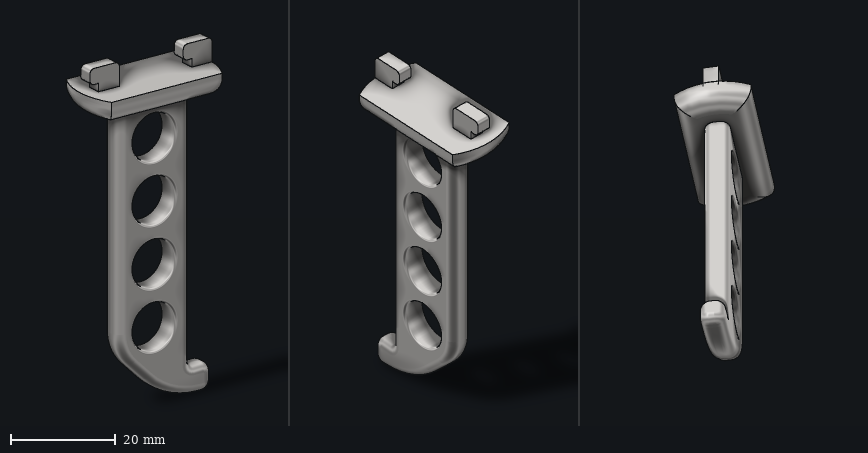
import cadquery as cq
import math

PLATE_WIDTH = 14.9
PLATE_LENGTH = 30.0
PLATE_THICKNESS = 5.05
PLATE_EDGE_RADIUS = 4.05

TOTAL_HEIGHT = 72.1
HOOK_HEIGHT = 5.05
HOOK_WIDTH = 3.0
HOOK_ROOT_DEPTH = 0.9
HOOK_LIP_REACH = 2.0
HOOK_LIP_BOTTOM = 1.7
HOOK_CORNER_RADIUS = 1.0
HOOK_SPACING = 21.9
REAR_LIP_TIP_Y = 8.1
REAR_HOOK_LENGTH = 6.85
FRONT_HOOK_LENGTH = 7.0

GRIP_THICKNESS = 5.0
GRIP_DEPTH = 17.1
GRIP_CENTER_Y = 0.65
GRIP_EDGE_RADIUS = 1.95
GRIP_BEND_RADIUS = 10.0
GRIP_SWEEP_RADIUS = 18.0
TOE_TIP_Y = 14.3
TOE_HEIGHT = 6.0
TOE_CORNER_RADIUS = 2.0
TOE_INNER_RADIUS = 0.8

HOLE_DIAMETER = 10.0
HOLE_COUNT = 4
HOLE_PITCH = 13.0
FIRST_HOLE_Z = -12.05
HOLE_EDGE_RADIUS = 0.5

BOTTOM_Z = HOOK_HEIGHT - TOTAL_HEIGHT
LAST_HOLE_Z = FIRST_HOLE_Z - (HOLE_COUNT - 1) * HOLE_PITCH


def arc_point(center, radius, degrees):
    """Point on a circle in a sketch plane, with the angle measured from the first axis."""
    angle = math.radians(degrees)
    return (center[0] + radius * math.cos(angle), center[1] + radius * math.sin(angle))


def make_plate():
    """Disc trimmed to the plate width, with a rounded lower edge."""
    disc = cq.Workplane("XY").circle(PLATE_LENGTH / 2).extrude(-PLATE_THICKNESS)
    trim = cq.Workplane("XY").box(PLATE_WIDTH, PLATE_LENGTH, 2 * PLATE_THICKNESS)
    return disc.intersect(trim).faces("<Z").edges().fillet(PLATE_EDGE_RADIUS)


def make_hook(lip_tip_y, length):
    """L-shaped hook whose lip points towards -Y."""
    back_y = lip_tip_y + length
    neck_y = lip_tip_y + HOOK_LIP_REACH
    root_z = -HOOK_ROOT_DEPTH
    body = (
        cq.Workplane("YZ")
        .moveTo(back_y, 0)
        .lineTo(back_y, HOOK_HEIGHT)
        .lineTo(lip_tip_y, HOOK_HEIGHT)
        .lineTo(lip_tip_y, HOOK_LIP_BOTTOM)
        .lineTo(neck_y, HOOK_LIP_BOTTOM)
        .lineTo(neck_y, root_z)
        .lineTo(back_y, root_z)
        .close()
        .extrude(HOOK_WIDTH / 2, both=True)
    )
    lip_edges = body.faces("<Y").edges("|X")
    top_back_edge = body.faces(">Z").edges(">Y")
    return body.newObject(lip_edges.vals() + top_back_edge.vals()).fillet(HOOK_CORNER_RADIUS)


def make_grip():
    """Flat bar with a forward bend, a swept underside and a toe, rounded all around."""
    front_y = GRIP_CENTER_Y - GRIP_DEPTH / 2
    rear_y = GRIP_CENTER_Y + GRIP_DEPTH / 2
    top_z = -PLATE_THICKNESS / 2
    toe_top_z = BOTTOM_Z + TOE_HEIGHT

    bend_center = (front_y + GRIP_BEND_RADIUS, LAST_HOLE_Z)
    bend_end = arc_point(bend_center, GRIP_BEND_RADIUS, 225)
    sweep_center_z = BOTTOM_Z + GRIP_SWEEP_RADIUS
    sweep_center_y = sum(bend_end) + math.sqrt(2) * GRIP_SWEEP_RADIUS - sweep_center_z
    sweep_center = (sweep_center_y, sweep_center_z)

    toe_lower_center = (TOE_TIP_Y - TOE_CORNER_RADIUS, BOTTOM_Z + TOE_CORNER_RADIUS)
    toe_upper_center = (TOE_TIP_Y - TOE_CORNER_RADIUS, toe_top_z - TOE_CORNER_RADIUS)
    inner_center = (rear_y + TOE_INNER_RADIUS, toe_top_z + TOE_INNER_RADIUS)

    def arc(outline, center, radius, middle, end):
        return outline.threePointArc(arc_point(center, radius, middle), arc_point(center, radius, end))

    outline = cq.Workplane("YZ").moveTo(front_y, top_z).lineTo(front_y, LAST_HOLE_Z)
    outline = arc(outline, bend_center, GRIP_BEND_RADIUS, 202.5, 225)
    outline = outline.lineTo(*arc_point(sweep_center, GRIP_SWEEP_RADIUS, 225))
    outline = arc(outline, sweep_center, GRIP_SWEEP_RADIUS, 247.5, 270)
    outline = outline.lineTo(toe_lower_center[0], BOTTOM_Z)
    outline = arc(outline, toe_lower_center, TOE_CORNER_RADIUS, 315, 360)
    outline = outline.lineTo(TOE_TIP_Y, toe_upper_center[1])
    outline = arc(outline, toe_upper_center, TOE_CORNER_RADIUS, 45, 90)
    outline = outline.lineTo(inner_center[0], toe_top_z)
    outline = arc(outline, inner_center, TOE_INNER_RADIUS, 225, 180)
    bar = outline.lineTo(rear_y, top_z).close().extrude(GRIP_THICKNESS / 2, both=True)

    return bar.faces("<X or >X").edges("not >Z").fillet(GRIP_EDGE_RADIUS)


def make_hole_cutter():
    """Cylinder that flares in a quarter round at both grip faces, lying along X at the origin."""
    radius = HOLE_DIAMETER / 2
    half = GRIP_THICKNESS / 2
    flare_x = half - HOLE_EDGE_RADIUS
    flare_y = radius + HOLE_EDGE_RADIUS
    return (
        cq.Workplane("XY")
        .moveTo(-half, 0)
        .lineTo(-half, flare_y)
        .threePointArc(arc_point((-flare_x, flare_y), HOLE_EDGE_RADIUS, 225), (-flare_x, radius))
        .lineTo(flare_x, radius)
        .threePointArc(arc_point((flare_x, flare_y), HOLE_EDGE_RADIUS, 315), (half, flare_y))
        .lineTo(half, 0)
        .close()
        .revolve(360, (0, 0, 0), (1, 0, 0))
    )


grip = make_grip()
for index in range(HOLE_COUNT):
    hole_z = FIRST_HOLE_Z - index * HOLE_PITCH
    grip = grip.cut(make_hole_cutter().translate((0, GRIP_CENTER_Y, hole_z)))

rear_hook = make_hook(REAR_LIP_TIP_Y, REAR_HOOK_LENGTH)
front_hook = make_hook(REAR_LIP_TIP_Y - HOOK_SPACING, FRONT_HOOK_LENGTH)

result = make_plate().union(grip).union(rear_hook).union(front_hook)